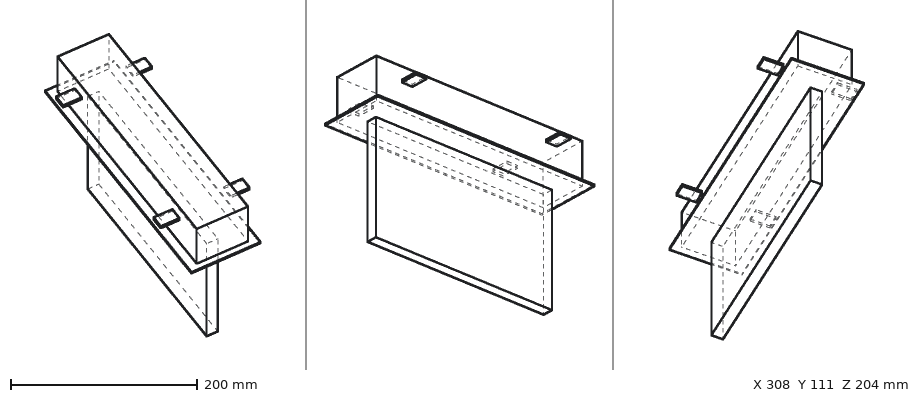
import cadquery as cq

total_height = 204.0

rim_length = 308.0
rim_width = 86.2
rim_thickness = 2.0

housing_length = 292.5
housing_width = 64.0
housing_height = 55.0

panel_length = 250.0
panel_thickness = 14.0
panel_height = total_height - housing_height - rim_thickness

tab_span = 111.0
tab_width = 15.0
tab_thickness = 3.0
tab_spacing = 205.0
tab_drop = 16.5


def centred_block(length, width, height, bottom, x=0):
    """Block centred on Y = 0 and on the given X, resting at the given height."""
    block = cq.Workplane("XY").box(length, width, height, centered=(True, True, False))
    return block.translate((x, 0, bottom))


housing_top = rim_thickness + housing_height
tab_bottom = housing_top - tab_drop - tab_thickness

rim = centred_block(rim_length, rim_width, rim_thickness, 0)
housing = centred_block(housing_length, housing_width, housing_height, rim_thickness)
panel = centred_block(panel_length, panel_thickness, panel_height, -panel_height)

result = rim.union(housing).union(panel)

for side in (-1, 1):
    tab_x = side * tab_spacing / 2
    result = result.union(centred_block(tab_width, tab_span, tab_thickness, tab_bottom, tab_x))